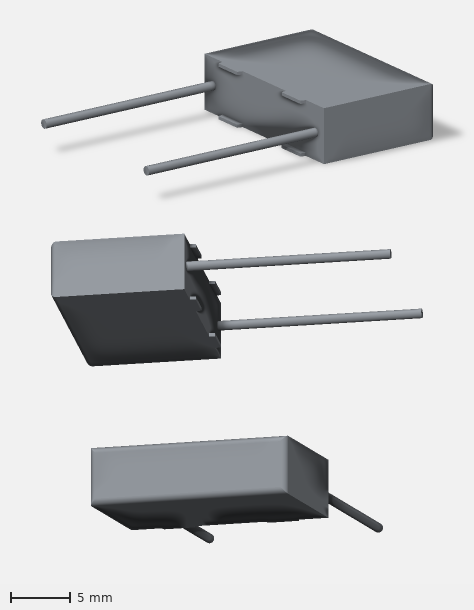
import cadquery as cq

overall_length = 29
case_width = 17.5
case_thickness = 5.0

lead_length = 17.5
lead_diameter = 0.8
lead_pitch = 15.0

case_length = overall_length - lead_length
rear_fillet = 0.52

foot_base_width = 2.95
foot_side_inset = 0.12
foot_height = 0.5
foot_thickness = 0.3
foot_edge_distance = 2.65

foot_offset = case_width / 2 - foot_edge_distance - foot_base_width / 2
foot_tip_width = foot_base_width - 2 * foot_side_inset


def make_foot(center_x, bottom_z):
    """Trapezoidal foot that narrows away from the front face."""
    return (
        cq.Workplane("XY")
        .workplane(offset=bottom_z)
        .moveTo(center_x - foot_base_width / 2, 0)
        .lineTo(center_x - foot_tip_width / 2, -foot_height)
        .lineTo(center_x + foot_tip_width / 2, -foot_height)
        .lineTo(center_x + foot_base_width / 2, 0)
        .close()
        .extrude(foot_thickness)
    )


def make_case():
    """Box with a rounded rear rim and four feet on the front face."""
    body = (
        cq.Workplane("XY")
        .box(case_width, case_length, case_thickness, centered=(True, False, True))
        .faces(">Y")
        .edges()
        .fillet(rear_fillet)
    )
    lower_foot_z = -case_thickness / 2
    upper_foot_z = case_thickness / 2 - foot_thickness
    for center_x in (-foot_offset, foot_offset):
        for bottom_z in (lower_foot_z, upper_foot_z):
            body = body.union(make_foot(center_x, bottom_z))
    return body


def make_lead(center_x):
    """Round wire whose rear end meets the front face of the case."""
    return (
        cq.Workplane("XZ")
        .center(center_x, 0)
        .circle(lead_diameter / 2)
        .extrude(lead_length)
    )


case = make_case()
leads = [make_lead(center_x) for center_x in (-lead_pitch / 2, lead_pitch / 2)]

result = cq.Compound.makeCompound([case.val(), *[lead.val() for lead in leads]])